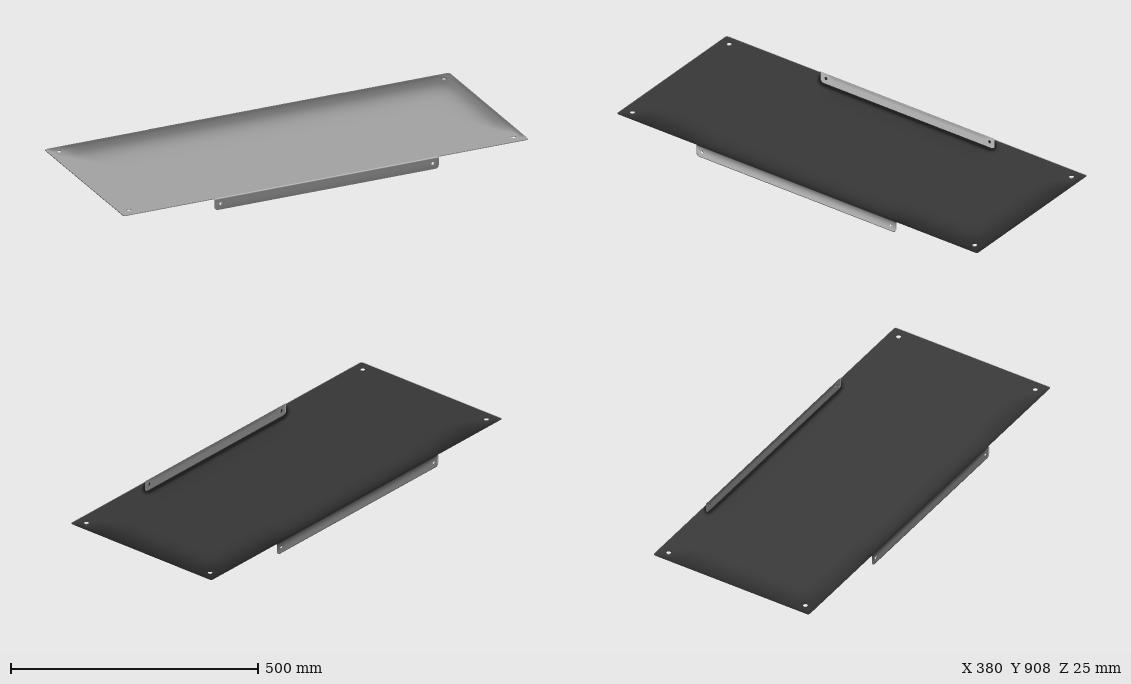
import cadquery as cq

plate_length = 908.0
overall_width = 380.0
overall_height = 25.0
sheet = 1.5
bend_projection = 3.0
plate_width = overall_width - 2 * bend_projection
plate_corner_radius = 4.5
plate_top = overall_height

mount_offset_x = 164.0
mount_offset_y = 431.0
mount_hole_diameter = 10.0

left_flange_length = 438.0
right_flange_length = 502.0
flange_corner_radius = 7.0
flange_hole_height = 13.0
left_hole_offset = 206.0
left_hole_diameter = 7.2
right_hole_offset = 238.0
right_hole_diameter = 6.0
bend_inner_radius = 1.0


def make_plate():
    plate = (
        cq.Workplane("XY", origin=(0, 0, plate_top - sheet))
        .rect(plate_width, plate_length)
        .extrude(sheet)
        .edges("|Z")
        .fillet(plate_corner_radius)
    )
    return (
        plate.faces(">Z")
        .workplane()
        .rect(2 * mount_offset_x, 2 * mount_offset_y, forConstruction=True)
        .vertices()
        .circle(mount_hole_diameter / 2)
        .cutThruAll()
    )


def make_flange(side, length):
    """Folded strip on the side where X has the given sign."""
    outer_x = overall_width / 2
    inner_x = outer_x - sheet
    reach = outer_x - plate_width / 2 + plate_corner_radius
    outer_radius = bend_inner_radius + sheet
    root_x = outer_x - reach
    profile = (
        cq.Workplane("XZ", origin=(0, length / 2, 0))
        .moveTo(side * root_x, plate_top)
        .lineTo(side * (outer_x - outer_radius), plate_top)
        .tangentArcPoint((side * outer_x, plate_top - outer_radius), relative=False)
        .lineTo(side * outer_x, 0)
        .lineTo(side * inner_x, 0)
        .lineTo(side * inner_x, plate_top - outer_radius)
        .tangentArcPoint((side * (inner_x - bend_inner_radius), plate_top - sheet), relative=False)
        .lineTo(side * root_x, plate_top - sheet)
        .close()
    )
    return profile.extrude(length).edges("|X").edges("<Z").fillet(flange_corner_radius)


def flange_hole_plane(side, offset):
    """Sketch plane on a flange, with pairs of points at plus and minus the offset along Y."""
    centre_x = side * (overall_width - sheet) / 2
    return (
        cq.Workplane("YZ", origin=(centre_x, 0, flange_hole_height))
        .pushPoints([(-offset, 0), (offset, 0)])
    )


left_holes = (
    flange_hole_plane(-1, left_hole_offset)
    .circle(left_hole_diameter / 2)
    .extrude(sheet, both=True)
)
right_holes = (
    flange_hole_plane(1, right_hole_offset)
    .circle(right_hole_diameter / 2)
    .extrude(sheet, both=True)
)

left_flange = make_flange(-1, left_flange_length).cut(left_holes)
right_flange = make_flange(1, right_flange_length).cut(right_holes)
result = make_plate().union(left_flange).union(right_flange)